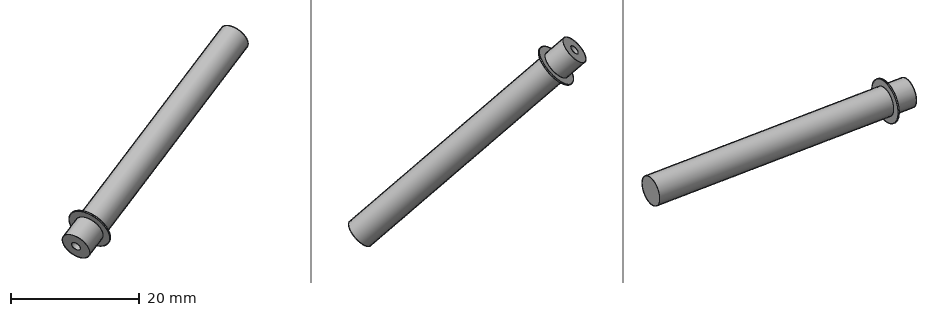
import cadquery as cq

total_length = 47.75
shaft_diameter = 5.0
flange_diameter = 7.4
flange_thickness = 0.25
front_stub_length = 4.0
bore_diameter = 1.6
bore_depth = front_stub_length


def cylinder_along_y(diameter, start_y, length):
    """Solid cylinder centred on the Y axis, growing toward +Y from start_y."""
    return (
        cq.Workplane("XZ", origin=(0, start_y, 0))
        .circle(diameter / 2)
        .extrude(-length)
    )


shaft = cylinder_along_y(shaft_diameter, 0, total_length)
flange = cylinder_along_y(flange_diameter, front_stub_length, flange_thickness)
blind_bore = cylinder_along_y(bore_diameter, 0, bore_depth)

result = shaft.union(flange).cut(blind_bore)